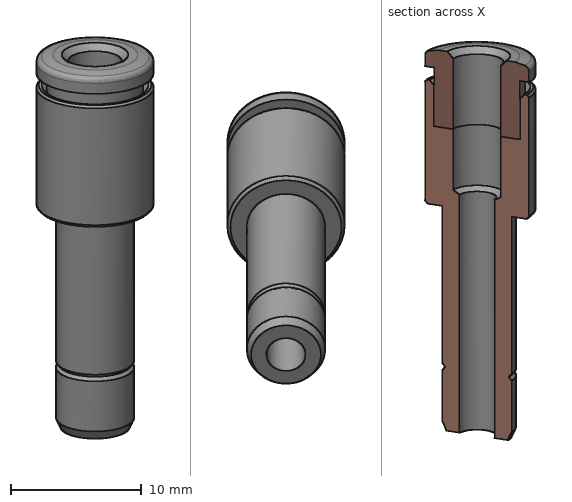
import cadquery as cq
import math

total_height = 30.5
outer_diameter = 9.0
outer_radius = outer_diameter / 2

collar_height = 1.5
collar_fillet = 0.45
top_slope = math.radians(10)
top_flat_diameter = 6.5
neck_diameter = 7.4
neck_insertion = 3.65
tube_bore_diameter = 4.1
entry_diameter = 5.1
entry_depth = (entry_diameter - tube_bore_diameter) / 2

button_gap = 1.0
barrel_height = 10.0
barrel_top_chamfer = 0.18
barrel_bottom_chamfer = 0.25
mouth_diameter = 8.17
mouth_depth = (mouth_diameter - neck_diameter) / 2
stem_diameter = 6.0
tip_diameter = 5.35
tip_height = 0.73
groove_center_height = 5.12
groove_half_width = 0.27
groove_depth = 0.25
through_diameter = 3.0
tube_socket_depth = 8.55
seat_slope = math.radians(30)

collar_bottom = total_height - collar_height
barrel_top = collar_bottom - button_gap
barrel_bottom = barrel_top - barrel_height
neck_bottom = barrel_top - neck_insertion
tube_stop = barrel_top - tube_socket_depth


def revolve_profile(points):
    """Turn a closed (radius, height) outline about the Z axis."""
    return (
        cq.Workplane("XZ")
        .polyline(points)
        .close()
        .revolve(360, (0, 0, 0), (0, 1, 0))
    )


def make_release_button():
    """Collar with a gently conical top, on a neck that slides into the barrel."""
    flat_radius = top_flat_diameter / 2
    rim_height = total_height - (outer_radius - flat_radius) * math.tan(top_slope)
    bore_radius = tube_bore_diameter / 2
    neck_radius = neck_diameter / 2
    button = revolve_profile([
        (bore_radius, neck_bottom),
        (neck_radius, neck_bottom),
        (neck_radius, collar_bottom),
        (outer_radius, collar_bottom),
        (outer_radius, rim_height),
        (flat_radius, total_height),
        (entry_diameter / 2, total_height),
        (bore_radius, total_height - entry_depth),
    ])
    widest_edges = button.edges(cq.selectors.RadiusNthSelector(-1))
    return widest_edges.edges(">Z").fillet(collar_fillet)


def make_housing_blank():
    """Solid barrel and chamfered stem."""
    stem_radius = stem_diameter / 2
    stem = revolve_profile([
        (0, 0),
        (tip_diameter / 2, 0),
        (stem_radius, tip_height),
        (stem_radius, barrel_bottom),
        (0, barrel_bottom),
    ])
    barrel = (
        cq.Workplane("XY", origin=(0, 0, barrel_bottom))
        .circle(outer_radius)
        .extrude(barrel_height)
        .faces(">Z").chamfer(barrel_top_chamfer)
        .faces("<Z").chamfer(barrel_bottom_chamfer)
    )
    return barrel.union(stem)


def make_stem_groove():
    """V-shaped ring cut from the stem."""
    stem_radius = stem_diameter / 2
    return revolve_profile([
        (stem_radius, groove_center_height - groove_half_width),
        (stem_radius - groove_depth, groove_center_height),
        (stem_radius, groove_center_height + groove_half_width),
    ])


def make_housing_bore():
    """Countersunk neck bore, tube socket with conical stop, and through passage."""
    neck_radius = neck_diameter / 2
    socket_radius = tube_bore_diameter / 2
    passage_radius = through_diameter / 2
    seat_depth = (socket_radius - passage_radius) * math.tan(seat_slope)
    return revolve_profile([
        (0, 0),
        (passage_radius, 0),
        (passage_radius, tube_stop - seat_depth),
        (socket_radius, tube_stop),
        (socket_radius, neck_bottom),
        (neck_radius, neck_bottom),
        (neck_radius, barrel_top - mouth_depth),
        (mouth_diameter / 2, barrel_top),
        (0, barrel_top),
    ])


release_button = make_release_button()
housing = make_housing_blank().cut(make_stem_groove()).cut(make_housing_bore())

result = cq.Compound.makeCompound([housing.solids().val(), release_button.solids().val()])